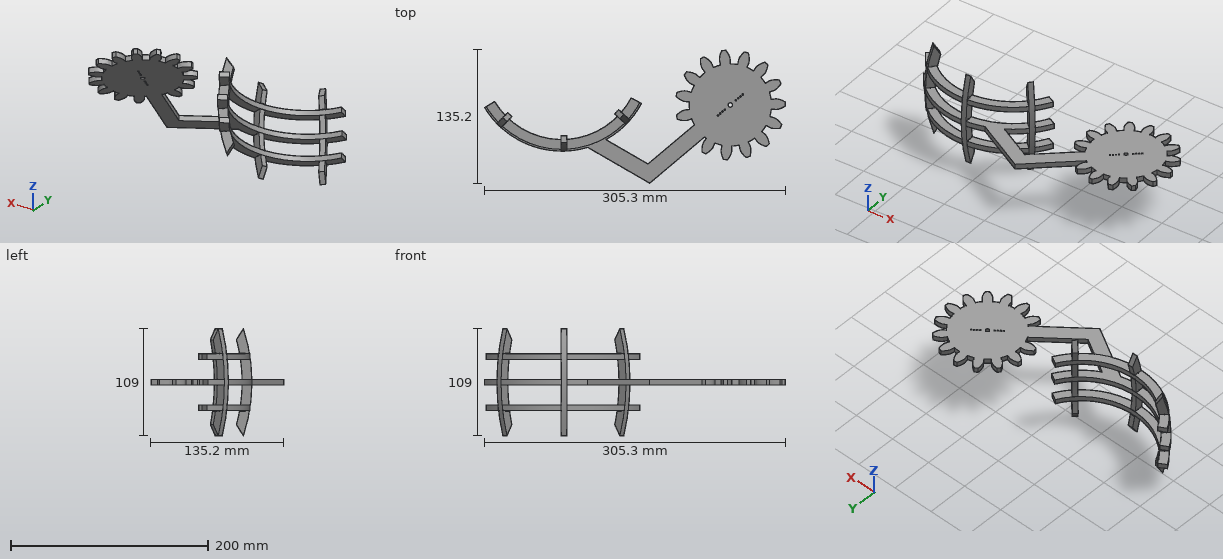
import cadquery as cq
import math

half_sheet = 3.0
sheet = 2 * half_sheet
band = 10.0
ring_radius = 91.5
ring_spacing = 26.0
ring_half_angle = 60.5
claw_direction = -88.5
rib_spread = 45.7
rib_angles = [-rib_spread, 0, rib_spread]

rib_radius = 174.0
rib_tip_height = 54.5
rib_heel_height = 43.0
notch_relief = 0.3

gear_x = 171.0
gear_y = -44.5
elbow_x = 88.3
elbow_y = -114.2
arm_width = 16.2
arm_rise = 30.0
arm_reach = 73.3
teeth = 15
module = 6.57
dedendum = 1.13
pressure_angle = math.radians(20)
gear_turn = 1.0
bore = 4.3
horn_hole = 1.2
horn_first = 7.3
horn_pitch = 3.0
horn_count = 4

gear_slope = math.degrees(math.atan2(gear_y - elbow_y, gear_x - elbow_x))
rib_centre = ring_radius - rib_radius
cut_margin = 15.3


def rib_reach(radius, height):
    """Distance from the claw centre to a rib arc of the given radius at a height."""
    return rib_centre + math.sqrt(radius**2 - height**2)


def ring_outer(height):
    """Outer radius of the ring at a height, flush with the ribs."""
    return rib_reach(rib_radius, height)


def lap_radius(height):
    """Radius where ring and rib notches meet, half way through the band."""
    return ring_outer(height) - band / 2


def turn_to(body, angle):
    """Turn a body made along +X to an angle measured from the claw axis."""
    return body.rotate((0, 0, 0), (0, 0, 1), claw_direction + angle)


def polar(radius, degrees):
    angle = math.radians(degrees)
    return (radius * math.cos(angle), radius * math.sin(angle))


def ring_blank(height):
    outer = ring_outer(height)
    inner = outer - band
    return (
        cq.Workplane("XY", origin=(0, 0, height - half_sheet))
        .moveTo(*polar(outer, -ring_half_angle))
        .threePointArc((outer, 0), polar(outer, ring_half_angle))
        .lineTo(*polar(inner, ring_half_angle))
        .threePointArc((inner, 0), polar(inner, -ring_half_angle))
        .close()
        .extrude(sheet)
        .rotate((0, 0, 0), (0, 0, 1), claw_direction)
    )


def cut_rib_slots(body, height):
    """Open a slot in the outer half of a ring for every rib."""
    slot = cq.Workplane("XY", origin=(lap_radius(height), 0, height)).box(
        band / 2 + cut_margin, sheet, 2 * sheet, centered=(False, True, True)
    )
    for angle in rib_angles:
        body = body.cut(turn_to(slot, angle))
    return body


def make_ring(height):
    return cut_rib_slots(ring_blank(height), height)


def make_rib(angle):
    """Upright arc whose inner half is notched to straddle the rings."""
    inner_radius = rib_radius - band
    tip = rib_reach(rib_radius, rib_tip_height)
    heel = rib_reach(inner_radius, rib_heel_height)
    rib = (
        cq.Workplane("XZ")
        .moveTo(tip, -rib_tip_height)
        .threePointArc((ring_radius, 0), (tip, rib_tip_height))
        .lineTo(heel, rib_heel_height)
        .threePointArc((ring_radius - band, 0), (heel, -rib_heel_height))
        .close()
        .extrude(half_sheet, both=True)
    )
    for level in (-1, 0, 1):
        height = level * ring_spacing
        notch_start = ring_outer(height) - band - cut_margin
        notch_height = sheet + abs(level) * notch_relief
        notch_middle = height + level * notch_relief / 2
        notch = cq.Workplane("XY", origin=(notch_start, 0, notch_middle)).box(
            lap_radius(height) - notch_start, 2 * sheet, notch_height, centered=(False, True, True)
        )
        rib = rib.cut(notch)
    return turn_to(rib, angle)


def make_gear():
    """Involute spur gear centred on its own axis."""
    pitch_radius = module * teeth / 2
    tip_radius = pitch_radius + module
    root_radius = pitch_radius - dedendum * module
    base_radius = pitch_radius * math.cos(pressure_angle)
    flank_points = 6
    involute_at_pitch = math.tan(pressure_angle) - pressure_angle

    def flank(centre, side):
        """Involute from the base circle to the tip on one side of a tooth."""
        points = []
        for i in range(flank_points):
            radius = base_radius + (tip_radius - base_radius) * i / (flank_points - 1)
            pressure = math.acos(base_radius / radius)
            half = math.pi / (2 * teeth) + involute_at_pitch - (math.tan(pressure) - pressure)
            points.append(polar(radius, centre + side * math.degrees(half)))
        return points

    root_half = math.degrees(math.pi / (2 * teeth) + involute_at_pitch)
    pitch_angle = 360 / teeth
    start = polar(root_radius, gear_turn - root_half)
    outline = cq.Workplane("XY", origin=(0, 0, -half_sheet)).moveTo(*start)
    for i in range(teeth):
        centre = gear_turn + i * pitch_angle
        rising = flank(centre, -1)
        falling = flank(centre, 1)[::-1]
        outline = (
            outline.lineTo(*rising[0])
            .spline(rising[1:], includeCurrent=True)
            .threePointArc(polar(tip_radius, centre), falling[0])
            .spline(falling[1:], includeCurrent=True)
            .lineTo(*polar(root_radius, centre + root_half))
            .threePointArc(
                polar(root_radius, centre + pitch_angle / 2),
                polar(root_radius, centre + pitch_angle - root_half),
            )
        )
    return outline.close().extrude(sheet)


def make_arm():
    """Bent bar from the gear centre over the elbow to the middle ring."""
    gear_reach = math.hypot(gear_x - elbow_x, gear_y - elbow_y)
    half_bend = math.radians((gear_slope + arm_rise) / 2)
    half = arm_width / 2

    def leg(reach, slope, side):
        """Bar along a direction from the elbow; its elbow end is cut on the mitre."""
        skew = half * math.tan(half_bend) * side
        return (
            cq.Workplane("XY", origin=(0, 0, -half_sheet))
            .polyline([(skew, half), (reach, half), (reach, -half), (-skew, -half)])
            .close()
            .extrude(sheet)
            .rotate((0, 0, 0), (0, 0, 1), slope)
            .translate((elbow_x, elbow_y, 0))
        )

    arm = leg(gear_reach, gear_slope, 1).union(leg(arm_reach, 180 - arm_rise, -1))
    claw_opening = cq.Workplane("XY").circle(ring_radius - band / 2).extrude(sheet, both=True)
    return arm.cut(claw_opening)


def make_geared_ring():
    """Middle ring, arm and gear in one plate."""
    gear = make_gear().translate((gear_x, gear_y, 0))
    plate = ring_blank(0).union(make_arm()).union(gear)
    plate = cut_rib_slots(plate, 0)
    holes = cq.Workplane("XY").circle(bore / 2).extrude(sheet, both=True)
    for i in range(horn_count):
        step = horn_first + i * horn_pitch
        for reach in (step, -step):
            spot = cq.Workplane("XY").center(*polar(reach, gear_slope))
            holes = holes.union(spot.circle(horn_hole / 2).extrude(sheet, both=True))
    return plate.cut(holes.translate((gear_x, gear_y, 0)))


geared_ring = make_geared_ring()
side_rings = [make_ring(height) for height in (-ring_spacing, ring_spacing)]
ribs = [make_rib(angle) for angle in rib_angles]

result = cq.Compound.makeCompound(
    [geared_ring.val(), *[ring.val() for ring in side_rings], *[rib.val() for rib in ribs]]
)